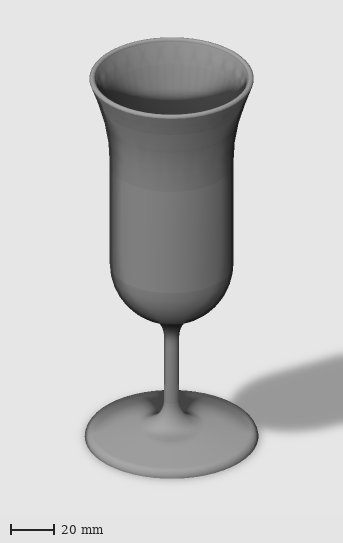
import cadquery as cq
import math

total_height = 189.86

foot_radius = 40.0
foot_edge_radius = 3.75
foot_slope = math.radians(6.5)
foot_fillet_radius = 13.0

stem_radius = 3.5
stem_fillet_radius = 14.0

bowl_radius = 28.5
wall = 2.5
bowl_center_z = 91.4
flare_start_z = 144.8
flare_radius = 100.0
flare_angle = math.radians(19.4)

cavity_radius = bowl_radius - wall
rim_radius = wall / 2 / math.cos(flare_angle)


def polar(center, radius, angle):
    """Point at the given angle (radians, measured from +r towards +z) on a circle in the r-z plane."""
    return (center[0] + radius * math.cos(angle), center[1] + radius * math.sin(angle))


def add_arc(profile, center, radius, start, end):
    """Continue the profile along a circle, from the start angle to the end angle."""
    middle = polar(center, radius, (start + end) / 2)
    return profile.threePointArc(middle, polar(center, radius, end))


def make_goblet():
    """Half section of the whole goblet in the r-z plane, revolved about the Z axis."""
    right = 0.0
    up = math.pi / 2
    left = math.pi
    down = -math.pi / 2

    foot_edge_center = (foot_radius - foot_edge_radius, 0.0)
    foot_fillet_r = stem_radius + foot_fillet_radius
    foot_fillet_z = (
        foot_fillet_radius
        + foot_edge_radius
        + (foot_edge_center[0] - foot_fillet_r) * math.sin(foot_slope)
    ) / math.cos(foot_slope)
    foot_fillet_center = (foot_fillet_r, foot_fillet_z)
    foot_normal = up - foot_slope

    bowl_center = (0.0, bowl_center_z)
    stem_fillet_r = stem_radius + stem_fillet_radius
    stem_fillet_drop = math.sqrt((bowl_radius + stem_fillet_radius) ** 2 - stem_fillet_r**2)
    stem_fillet_center = (stem_fillet_r, bowl_center_z - stem_fillet_drop)
    bowl_contact = -math.atan2(stem_fillet_drop, stem_fillet_r)

    flare_center = (bowl_radius + flare_radius, flare_start_z)
    flare_end = left - flare_angle
    lip_start = polar(flare_center, flare_radius + wall / 2, flare_end)
    rim_z = total_height - rim_radius
    rim_center = (lip_start[0] + (rim_z - lip_start[1]) * math.tan(flare_angle), rim_z)

    profile = cq.Workplane("XZ").moveTo(0, 0).lineTo(foot_radius, 0)
    profile = add_arc(profile, foot_edge_center, foot_edge_radius, right, foot_normal)
    profile = profile.lineTo(*polar(foot_fillet_center, foot_fillet_radius, foot_normal + math.pi))
    profile = add_arc(profile, foot_fillet_center, foot_fillet_radius, foot_normal + math.pi, left)
    profile = profile.lineTo(stem_radius, stem_fillet_center[1])
    profile = add_arc(profile, stem_fillet_center, stem_fillet_radius, left, bowl_contact + math.pi)
    profile = add_arc(profile, bowl_center, bowl_radius, bowl_contact, right)
    profile = profile.lineTo(bowl_radius, flare_start_z)
    profile = add_arc(profile, flare_center, flare_radius, left, flare_end)
    profile = profile.lineTo(*polar(rim_center, rim_radius, right))
    profile = add_arc(profile, rim_center, rim_radius, right, left)
    profile = profile.lineTo(*polar(flare_center, flare_radius + wall, flare_end))
    profile = add_arc(profile, flare_center, flare_radius + wall, flare_end, left)
    profile = profile.lineTo(cavity_radius, bowl_center_z)
    profile = add_arc(profile, bowl_center, cavity_radius, right, down)
    return profile.close().revolve(360, (0, 0, 0), (0, 1, 0))


result = make_goblet()